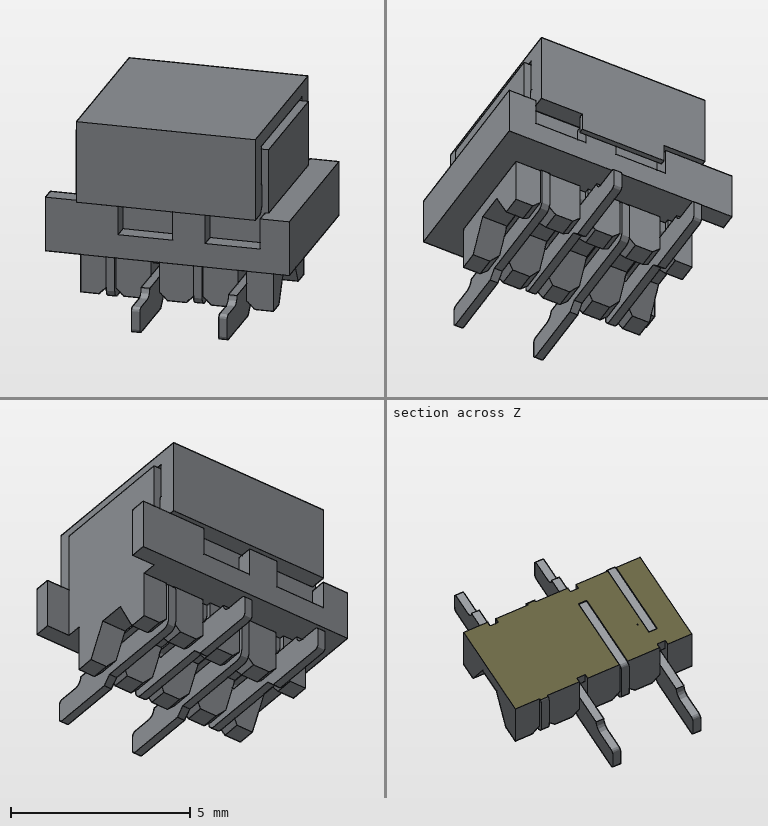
import cadquery as cq
import math

BASE_BOTTOM = 1.8
BASE_TOP = 3.4

HOUSING_LENGTH = 5.59
HOUSING_WIDTH = 4.0
HOUSING_TOP = 5.29
SKIRT_WIDTH = 3.065
SKIRT_BOTTOM = 0.305
TUNNEL_TOP = 1.32
TUNNEL_TOP_WIDTH = 0.82
TUNNEL_BOTTOM_WIDTH = 1.925

BASE_LENGTH = 7.08
BASE_WIDTH = 5.0
WINDOW_BOTTOM = 2.5
WINDOW_SPANS = [(-1.43, 0.15), (1.1, 2.7)]

CAP_LENGTH = 5.2
CAP_WIDTH = 5.295
CAP_TOP = 5.8
CAP_CEILING = 5.39
CAP_CAVITY_WIDTH = 4.105
GRIP_TOP = 4.22
LEAD_IN_WIDTH = 4.26
LEAD_IN_TOP = 3.57
TAB_BOTTOM = 2.805
TAB_LENGTH = CAP_LENGTH / 2

PIN_PITCH = 1.27
PIN_THICKNESS = 0.25
PIN_RAISE = 0.05
PIN_LAYOUT = [(-1.5, 1, 0), (-0.5, -1, 0), (0.5, 1, PIN_RAISE), (1.5, -1, PIN_RAISE)]
PIN_REACH = 7.0 / 2
PIN_END = 1.635
FOOT_HEIGHT = 0.75
FOOT_HEEL = 1.39
FOOT_CORNER = 0.13
BEAM_END = BASE_WIDTH / 2
BEAM_BOTTOM = 0.25
BEAM_TOP = 1.0
STEP_RADIUS = BEAM_TOP - FOOT_HEIGHT
SLOT_RADIUS = 0.13
SLOT_TOP = BEAM_TOP + 2 * SLOT_RADIUS
SLOT_END = -0.54
PIN_TOP = 1.75
PIN_BOTTOM_ROUND = 0.25
PIN_TOP_ROUND = 0.13
ROOT_FACE = 1.39
ROOT_WIDTH = 0.495
ROOT_EMBED = 0.14
GROOVE_FLARE_HALF = 0.36
GROOVE_FLARE_TOP = 0.54


def block(x_span, y_span, z_span):
    """Axis-aligned box from its limits along each axis."""
    (x0, x1), (y0, y1), (z0, z1) = x_span, y_span, z_span
    return cq.Workplane("XY").box(x1 - x0, y1 - y0, z1 - z0, centered=False).translate((x0, y0, z0))


def mid(size):
    """Limits of a centred span."""
    return (-size / 2, size / 2)


def along_x(outline, length):
    """Extrude a closed (Y, Z) outline symmetrically along X."""
    return outline.extrude(length / 2, both=True)


def make_housing():
    upper = block(mid(HOUSING_LENGTH), mid(HOUSING_WIDTH), (BASE_BOTTOM, HOUSING_TOP))
    skirt = block(mid(HOUSING_LENGTH), mid(SKIRT_WIDTH), (SKIRT_BOTTOM, BASE_BOTTOM))
    tunnel = cq.Workplane("YZ").polyline([
        (-TUNNEL_BOTTOM_WIDTH / 2, SKIRT_BOTTOM),
        (-TUNNEL_TOP_WIDTH / 2, TUNNEL_TOP),
        (TUNNEL_TOP_WIDTH / 2, TUNNEL_TOP),
        (TUNNEL_BOTTOM_WIDTH / 2, SKIRT_BOTTOM),
    ]).close()
    skirt = skirt.cut(along_x(tunnel, HOUSING_LENGTH))
    for pitch_index, _, _ in PIN_LAYOUT:
        skirt = skirt.cut(pin_groove(pitch_index * PIN_PITCH))
    return upper.union(skirt)


def pin_groove(x):
    """Groove across the skirt as wide as a pin, flared at the bottom."""
    half = PIN_THICKNESS / 2
    return (
        cq.Workplane("XZ")
        .polyline([
            (x - GROOVE_FLARE_HALF, SKIRT_BOTTOM),
            (x - half, GROOVE_FLARE_TOP),
            (x - half, BASE_BOTTOM),
            (x + half, BASE_BOTTOM),
            (x + half, GROOVE_FLARE_TOP),
            (x + GROOVE_FLARE_HALF, SKIRT_BOTTOM),
        ])
        .close()
        .extrude(SKIRT_WIDTH / 2, both=True)
    )


def make_base():
    height = (BASE_BOTTOM, BASE_TOP)
    base = block(mid(BASE_LENGTH), mid(BASE_WIDTH), height)
    base = base.cut(block((-BASE_LENGTH / 2, HOUSING_LENGTH / 2), mid(HOUSING_WIDTH), height))
    for span in WINDOW_SPANS:
        base = base.cut(block(span, mid(BASE_WIDTH), (WINDOW_BOTTOM, BASE_TOP)))
    return base


def make_cap():
    cap = block(mid(CAP_LENGTH), mid(CAP_WIDTH), (BASE_TOP, CAP_TOP))
    grip = HOUSING_WIDTH / 2
    cavity_half = CAP_CAVITY_WIDTH / 2
    right_side = [
        (LEAD_IN_WIDTH / 2, BASE_TOP),
        (grip, LEAD_IN_TOP),
        (grip, GRIP_TOP),
        (cavity_half, GRIP_TOP + cavity_half - grip),
        (cavity_half, CAP_CEILING),
    ]
    left_side = [(-y, z) for y, z in reversed(right_side)]
    cavity = cq.Workplane("YZ").polyline(right_side + left_side).close()
    tab = block(mid(TAB_LENGTH), (BASE_WIDTH / 2, CAP_WIDTH / 2), (TAB_BOTTOM, BASE_TOP))
    return cap.cut(along_x(cavity, CAP_LENGTH)).union(tab)


def make_pin():
    """Fork-shaped pin at X = 0 with its foot toward +Y."""
    slot_middle = BEAM_TOP + SLOT_RADIUS
    root_top = BASE_BOTTOM + ROOT_EMBED
    step_inset = STEP_RADIUS * (1 - math.sqrt(0.5))
    outline = (
        cq.Workplane("YZ")
        .moveTo(FOOT_HEEL, 0)
        .lineTo(PIN_REACH, 0)
        .lineTo(PIN_REACH, FOOT_HEIGHT)
        .lineTo(BEAM_END + STEP_RADIUS, FOOT_HEIGHT)
        .threePointArc((BEAM_END + step_inset, FOOT_HEIGHT + step_inset), (BEAM_END, BEAM_TOP))
        .lineTo(SLOT_END + SLOT_RADIUS, BEAM_TOP)
        .threePointArc((SLOT_END, slot_middle), (SLOT_END + SLOT_RADIUS, SLOT_TOP))
        .lineTo(ROOT_FACE, SLOT_TOP)
        .lineTo(ROOT_FACE, root_top)
        .lineTo(ROOT_FACE - ROOT_WIDTH, root_top)
        .lineTo(ROOT_FACE - ROOT_WIDTH, PIN_TOP)
        .lineTo(-PIN_END, PIN_TOP)
        .lineTo(-PIN_END, BEAM_BOTTOM)
        .lineTo(FOOT_HEEL - BEAM_BOTTOM, BEAM_BOTTOM)
        .close()
    )
    pin = along_x(outline, PIN_THICKNESS)
    pin = round_edge(pin, PIN_REACH, 0, FOOT_CORNER)
    pin = round_edge(pin, PIN_REACH, FOOT_HEIGHT, FOOT_CORNER)
    pin = round_edge(pin, ROOT_FACE, SLOT_TOP, PIN_BOTTOM_ROUND)
    pin = round_edge(pin, -PIN_END, BEAM_BOTTOM, PIN_BOTTOM_ROUND)
    return round_edge(pin, -PIN_END, PIN_TOP, PIN_TOP_ROUND)


def round_edge(pin, y, z, radius):
    """Fillet the pin edge that runs along X at (y, z)."""
    return pin.edges(cq.selectors.NearestToPointSelector((0, y, z))).fillet(radius)


result = make_housing().union(make_base()).union(make_cap())
for pitch_index, foot_side, raised in PIN_LAYOUT:
    pin = make_pin()
    if foot_side < 0:
        pin = pin.mirror("XZ")
    result = result.union(pin.translate((pitch_index * PIN_PITCH, 0, raised)))